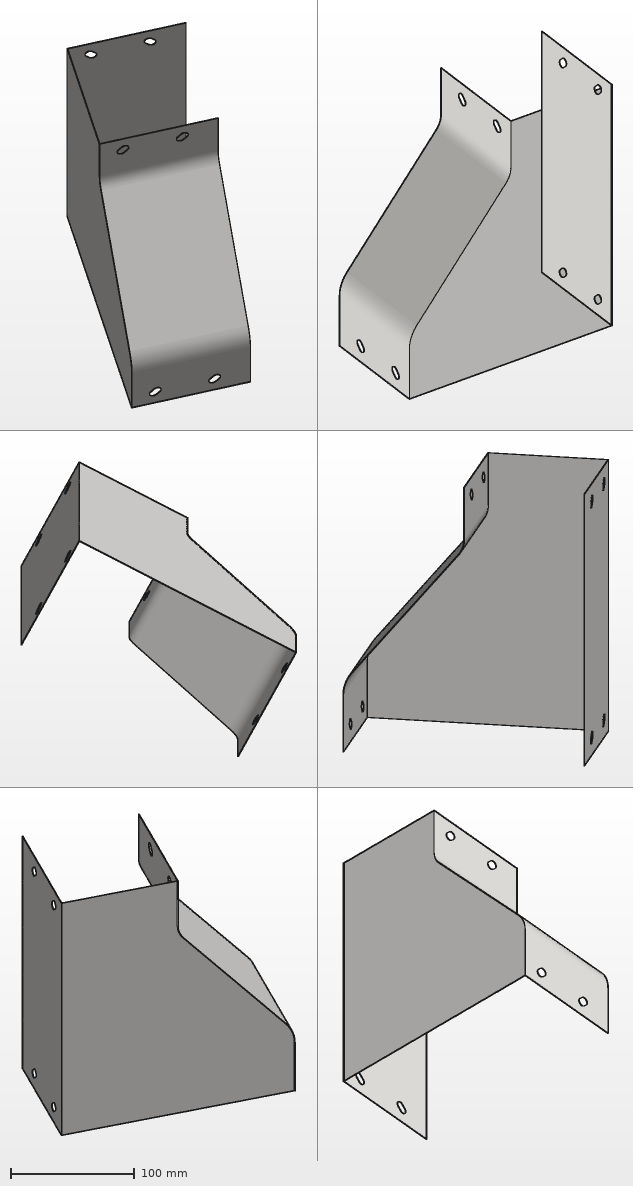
import cadquery as cq
import math

height = 230.0
depth = 100.0
base_width = 200.0
neck_width = base_width / 2
sheet = 0.7

base_side_height = 59.0
slope_angle = 50.0
slope_rise = (base_width - neck_width) * math.tan(math.radians(slope_angle))
base_bend_radius = 31.0
neck_bend_radius = 20.0

slot_length = 11.0
slot_width = 7.0
slot_tilt = 45.0
slot_end_distance = 15.0
slot_front_distance = 20.0
slot_spacing = 50.0


def make_solid_body():
    """Full-depth block with the stepped outline and rounded slope ends."""
    slope_top = base_side_height + slope_rise
    body = (
        cq.Workplane("XZ")
        .polyline([
            (0, 0),
            (base_width, 0),
            (base_width, base_side_height),
            (neck_width, slope_top),
            (neck_width, height),
            (0, height),
        ])
        .close()
        .extrude(-depth)
    )
    base_bend = cq.selectors.NearestToPointSelector((base_width, depth / 2, base_side_height))
    neck_bend = cq.selectors.NearestToPointSelector((neck_width, depth / 2, slope_top))
    body = body.edges(base_bend).fillet(base_bend_radius)
    return body.edges(neck_bend).fillet(neck_bend_radius)


def make_shell():
    """Thin front panel and side walls, open at the back, top and bottom."""
    return make_solid_body().faces(">Y or >Z or <Z").shell(-sheet)


def make_slot_cutter(wall_x, y, z, tilt):
    """Slot cutter through a side wall, tilted from the Y axis towards +Z."""
    cutter_depth = 4 * sheet
    return (
        cq.Workplane("YZ", origin=(wall_x, y, z))
        .slot2D(slot_length, slot_width, tilt)
        .extrude(cutter_depth / 2, both=True)
    )


def cut_slots(body):
    """Cut two slots at each end of both walls, tilted oppositely on the two walls."""
    rows = [
        (slot_end_distance, base_width),
        (height - slot_end_distance, neck_width),
    ]
    for z, right_wall_x in rows:
        for y in (slot_front_distance, slot_front_distance + slot_spacing):
            body = body.cut(make_slot_cutter(0, y, z, -slot_tilt))
            body = body.cut(make_slot_cutter(right_wall_x, y, z, slot_tilt))
    return body


result = cut_slots(make_shell())